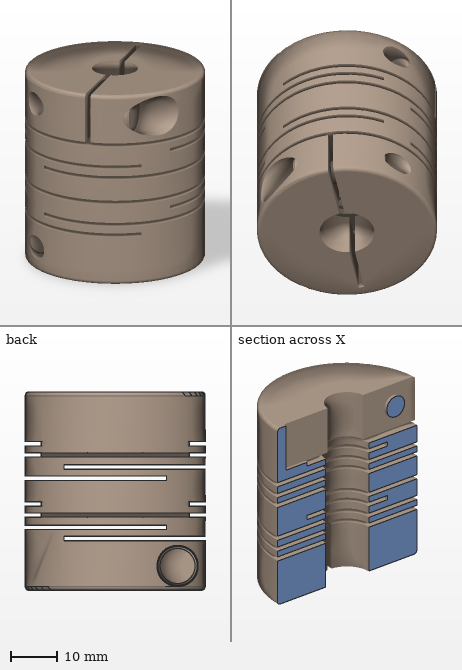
import cadquery as cq

height = 43.0
body_radius = 19.5
edge_fillet = 0.85

top_bore_radius = 5.0
main_bore_radius = 5.98
hub_height = 10.8

clamp_slot_width = 1.2
clamp_slot_end = 17.0

screw_offset = 13.5
screw_end_distance = 5.3
screw_radius = 2.55
screw_tail_depth = 11.25
counterbore_radius = 4.47
head_radius = 4.25
head_top = 8.65
head_length = 5.0
screw_chamfer = 0.47

slit_width = 0.9
slit_end = 11.1
slit_pair_pitch = 2.4
outer_pair_height = hub_height + slit_width / 2 + slit_pair_pitch / 2
inner_pair_height = 17.5

slit_pairs = [
    (height - outer_pair_height, 270, 90),
    (height - inner_pair_height, 180, 0),
    (inner_pair_height, 270, 90),
    (outer_pair_height, 0, 180),
]

overshoot = 2.15


def cylinder_along_x(radius, start, end):
    """Cylinder centred on the top hub's screw axis, from X = start to X = end."""
    plane = cq.Plane(
        origin=(start, -screw_offset, height - screw_end_distance),
        xDir=(0, 1, 0),
        normal=(1, 0, 0),
    )
    return cq.Workplane(plane).circle(radius).extrude(end - start)


def box_from_corners(low, high):
    sizes = [b - a for a, b in zip(low, high)]
    return cq.Workplane("XY").box(*sizes, centered=False).translate(low)


def turn_to_bottom_hub(shape):
    """Half turn that swaps the X and Y axes and carries the top hub to the bottom."""
    return shape.rotate((0, 0, height / 2), (0.45, 0.45, height / 2), 180)


def slit(center_z, angle):
    tool = box_from_corners(
        (-slit_end, -body_radius - overshoot, center_z - slit_width / 2),
        (body_radius + overshoot, body_radius + overshoot, center_z + slit_width / 2),
    )
    return tool.rotate((0, 0, 0), (0, 0, 1), angle)


def clamp_cut():
    """Clamp slot, screw hole and counterbore of the top hub."""
    reach = body_radius + overshoot
    slot = box_from_corners(
        (-clamp_slot_width / 2, -reach, height - hub_height),
        (clamp_slot_width / 2, clamp_slot_end, height + overshoot),
    )
    hole = cylinder_along_x(screw_radius, -reach, reach)
    counterbore = cylinder_along_x(counterbore_radius, head_top - head_length, reach)
    return slot.union(hole).union(counterbore)


def clamp_screw():
    """Clamp screw of the top hub, with its head toward +X."""
    head_seat = head_top - head_length
    shank = cylinder_along_x(screw_radius, -screw_tail_depth, head_seat)
    shank = shank.faces("<X").chamfer(screw_chamfer)
    head = cylinder_along_x(head_radius, head_seat, head_top)
    head = head.faces(">X").chamfer(screw_chamfer)
    return shank.union(head)


body = cq.Workplane("XY").circle(body_radius).extrude(height)
body = body.faces("<Z or >Z").edges().fillet(edge_fillet)
main_bore = cq.Workplane("XY").circle(main_bore_radius).extrude(height - hub_height)
top_bore = cq.Workplane("XY").circle(top_bore_radius).extrude(height)
body = body.cut(main_bore).cut(top_bore)

for pair_z, upper_angle, lower_angle in slit_pairs:
    body = body.cut(slit(pair_z + slit_pair_pitch / 2, upper_angle))
    body = body.cut(slit(pair_z - slit_pair_pitch / 2, lower_angle))

body = body.cut(clamp_cut()).cut(turn_to_bottom_hub(clamp_cut()))
result = body.union(clamp_screw()).union(turn_to_bottom_hub(clamp_screw()))